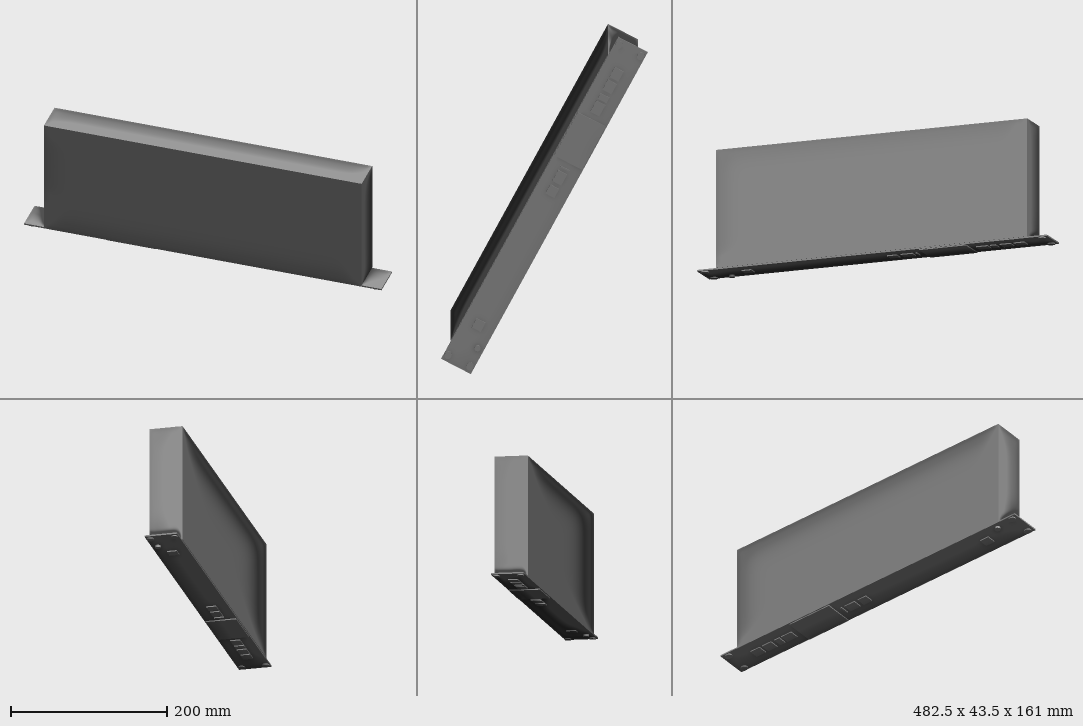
import cadquery as cq

panel_width = 482.5
overall_depth = 43.5
overall_height = 161.0

panel_thickness = 2.0
panel_back_inset = 0.5

body_width = 429.0

knob_diameter = 7.5
knob_height = 3.0
knob_x = 206.5
knob_y = -13.0
detail_height = 1.5

pad_length = 10.5
pad_width = 8.5
pad_pitch_x = 465.0
pad_pitch_y = 32.0

port_depth = 13.0
display_depth = 40.5
raised_rectangles = [
    (-197.0, 15.0, port_depth),
    (-178.0, 15.0, port_depth),
    (-161.0, 8.0, port_depth),
    (-145.7, 16.5, port_depth),
    (-97.0, 64.5, display_depth),
    (-55.5, 2.0, port_depth),
    (-42.0, 16.5, port_depth),
    (-21.5, 13.5, port_depth),
    (179.0, 13.5, port_depth),
]

front_y = -overall_depth / 2
back_y = overall_depth / 2
top_z = overall_height / 2
panel_face_z = -top_z + knob_height
panel_top_z = panel_face_z + panel_thickness


def block(width, y_min, y_max, z_min, z_max):
    """Box centred on x = 0 between the given y and z limits."""
    size = (width, y_max - y_min, z_max - z_min)
    return cq.Workplane("XY").box(*size, centered=(True, False, False)).translate((0, y_min, z_min))


def panel_face():
    """Workplane on the panel face, drawn on in global x and y."""
    return cq.Workplane("XY", origin=(0, 0, panel_face_z))


panel = block(panel_width, front_y, back_y - panel_back_inset, panel_face_z, panel_top_z)
body = block(body_width, front_y, back_y, panel_top_z, top_z)

pads = (
    panel_face()
    .rarray(pad_pitch_x, pad_pitch_y, 2, 2)
    .slot2D(pad_length, pad_width)
    .extrude(-detail_height)
)
knob = panel_face().center(knob_x, knob_y).circle(knob_diameter / 2).extrude(-knob_height)

result = panel.union(body).union(pads).union(knob)
for center_x, width, depth in raised_rectangles:
    rectangle = panel_face().center(center_x, 0).rect(width, depth)
    result = result.union(rectangle.extrude(-detail_height))